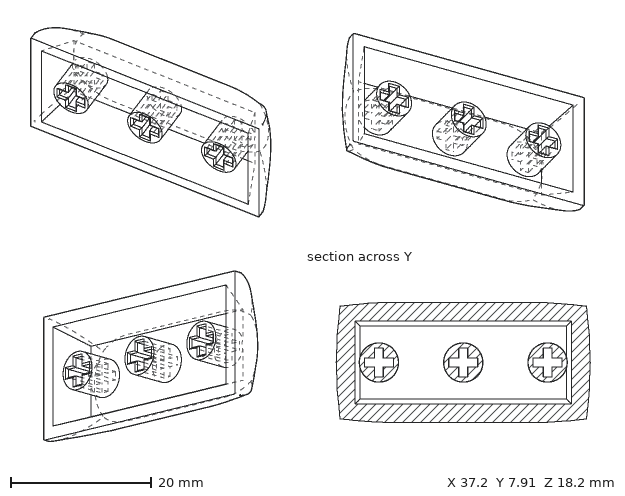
import cadquery as cq
import math

length = 37.2
width = 18.2
skirt_height = 1.0
corner_radius = 0.2

side_radius = 9.55
dome_height = 8.2
crown_at_top = 1.35
section_count = 5
end_center = 9.5

dish_radius = 15.62
dish_floor = 6.32

wall = 1.8
cavity_depth = 5.75
cavity_taper = 2.1

stem_diameter = 5.6
stem_pitch = 12.0
cross_length = 4.1
cross_arm = 1.23
lead_in = 0.25
lead_in_depth = 0.3


def plane_at(height):
    """Sketch plane parallel to the rim: local x is X, local y is Z."""
    return cq.Workplane("XZ", origin=(0, height, 0))


def dome_section(height):
    """Outline with straight middle stretches and bowed ends and corners."""
    rise = height - skirt_height
    inset = side_radius - math.sqrt(side_radius**2 - rise**2)
    crown = crown_at_top * rise / (dome_height - skirt_height)
    end_x = length / 2 - inset
    side_z = width / 2 - inset
    corner_x = end_x - crown
    corner_z = side_z - crown
    sketch = plane_at(height).moveTo(-end_center, -side_z).lineTo(end_center, -side_z)

    if crown == 0:
        return (
            sketch.lineTo(corner_x, -corner_z)
            .lineTo(corner_x, corner_z)
            .lineTo(end_center, side_z)
            .lineTo(-end_center, side_z)
            .lineTo(-corner_x, corner_z)
            .lineTo(-corner_x, -corner_z)
            .close()
            .val()
        )

    run = corner_x - end_center
    arc_radius = (run**2 + crown**2) / (2 * crown)
    half_run = run / 2
    mid_x = end_center + half_run
    mid_z = side_z - arc_radius + math.sqrt(arc_radius**2 - half_run**2)
    return (
        sketch.threePointArc((mid_x, -mid_z), (corner_x, -corner_z))
        .threePointArc((end_x, 0), (corner_x, corner_z))
        .threePointArc((mid_x, mid_z), (end_center, side_z))
        .lineTo(-end_center, side_z)
        .threePointArc((-mid_x, mid_z), (-corner_x, corner_z))
        .threePointArc((-end_x, 0), (-corner_x, -corner_z))
        .threePointArc((-mid_x, -mid_z), (-end_center, -side_z))
        .close()
        .val()
    )


def make_outer_body():
    """Skirt and dome, with the upright corners slightly rounded."""
    step = (dome_height - skirt_height) / (section_count - 1)
    sections = [dome_section(skirt_height + i * step) for i in range(section_count)]
    dome = cq.Workplane(cq.Solid.makeLoft(sections))
    skirt = plane_at(0).rect(length, width).extrude(-skirt_height)
    envelope = plane_at(0).rect(length, width).extrude(-dome_height).edges("|Y").fillet(corner_radius)
    return skirt.union(dome).intersect(envelope)


def make_dish():
    """Round-ended bar that hollows the top."""
    axis_y = dish_floor + dish_radius
    dish = cq.Workplane("YZ", origin=(-end_center, axis_y, 0)).circle(dish_radius).extrude(2 * end_center)
    for side in (-1, 1):
        end = cq.Workplane("XY").sphere(dish_radius).translate((side * end_center, axis_y, 0))
        dish = dish.union(end)
    return dish


def make_cavity():
    """Four-sided pocket narrowing toward its floor."""
    mouth_length = length - 2 * wall
    mouth_width = width - 2 * wall
    return (
        plane_at(0)
        .rect(mouth_length, mouth_width)
        .workplane(offset=-cavity_depth)
        .rect(mouth_length - 2 * cavity_taper, mouth_width - 2 * cavity_taper)
        .loft(combine=True)
    )


def make_socket_arm(size_x, size_z):
    """One bar of the cross, with a bevelled mouth."""
    bar = plane_at(0).rect(size_x, size_z).extrude(-cavity_depth)
    mouth = (
        plane_at(0)
        .rect(size_x + 2 * lead_in, size_z + 2 * lead_in)
        .workplane(offset=-lead_in_depth)
        .rect(size_x, size_z)
        .loft(combine=True)
    )
    return bar.union(mouth)


stem_centers = [(i * stem_pitch, 0) for i in (-1, 0, 1)]
stems = plane_at(0).pushPoints(stem_centers).circle(stem_diameter / 2).extrude(-cavity_depth)
socket = make_socket_arm(cross_length, cross_arm).union(make_socket_arm(cross_arm, cross_length))

body = make_outer_body().cut(make_dish())
result = body.cut(make_cavity().cut(stems))
for x, z in stem_centers:
    result = result.cut(socket.translate((x, 0, z)))